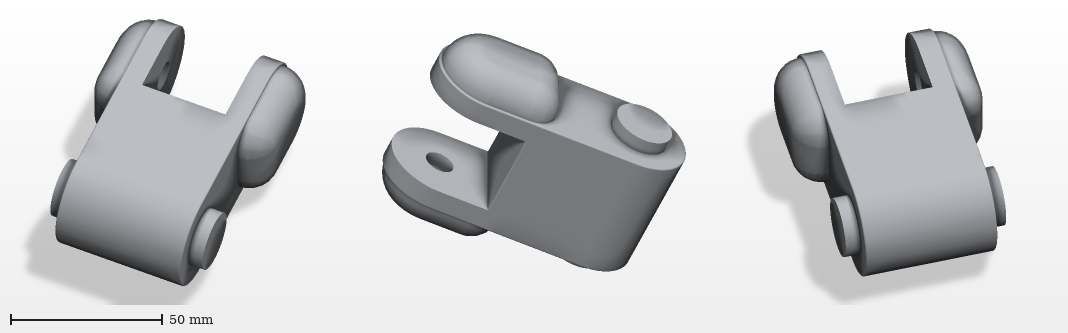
import cadquery as cq

length = 90.0
height = 35.0
width = 45.0
edge_radius = 0.5
end_radius = height / 2
end_axis_y = length / 2 - end_radius

slot_width = 30.1
slot_depth = 35.0
hole_diameter = 10.0
hole_depth = 5.0

overall_width = 65.0
pad_thickness = (overall_width - width) / 2
pad_inset = 1.0
pad_radius = end_radius - pad_inset
pad_end_y = 2.5
fillet_margin = 0.01
pin_diameter = 20.0
pin_protrusion = 4.95


def make_body():
    """Round-ended bar with rounded side outlines."""
    return (
        cq.Workplane("YZ")
        .slot2D(length, height)
        .extrude(width / 2, both=True)
        .faces("<X or >X")
        .edges()
        .fillet(edge_radius)
    )


def cut_fork(body):
    """Open the +Y end into two lugs above a rounded slot floor, with a hole in each inner face."""
    floor_y = length / 2 - slot_depth
    slot = (
        cq.Workplane("YZ")
        .moveTo(length / 2, end_radius)
        .lineTo(floor_y - edge_radius, end_radius)
        .radiusArc((floor_y, end_radius - edge_radius), edge_radius)
        .lineTo(floor_y, edge_radius - end_radius)
        .radiusArc((floor_y - edge_radius, -end_radius), edge_radius)
        .lineTo(length / 2, -end_radius)
        .close()
        .extrude(slot_width / 2, both=True)
    )
    holes = (
        cq.Workplane("YZ")
        .center(end_axis_y, 0)
        .circle(hole_diameter / 2)
        .extrude(slot_width / 2 + hole_depth, both=True)
    )
    return body.cut(slot).cut(holes)


def make_pad():
    """Domed pad on the +X side: round towards +Y, rounded corners at its other end."""
    corner = pad_thickness
    corner_y = pad_end_y + corner
    corner_z = pad_radius - corner
    core = (
        cq.Workplane("YZ", origin=(width / 2, 0, 0))
        .moveTo(pad_end_y, corner_z)
        .radiusArc((corner_y, pad_radius), corner)
        .lineTo(end_axis_y, pad_radius)
        .threePointArc((end_axis_y + pad_radius, 0), (end_axis_y, -pad_radius))
        .lineTo(corner_y, -pad_radius)
        .radiusArc((pad_end_y, -corner_z), corner)
        .close()
        .extrude(pad_thickness)
    )
    return core.faces(">X").edges().fillet(corner - fillet_margin)


pins = (
    cq.Workplane("YZ")
    .center(-end_axis_y, 0)
    .circle(pin_diameter / 2)
    .extrude(width / 2 + pin_protrusion, both=True)
)
pad = make_pad()
result = cut_fork(make_body()).union(pins).union(pad).union(pad.mirror("YZ"))